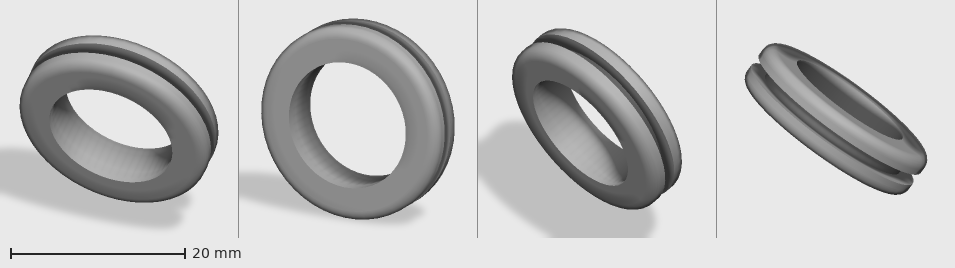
import cadquery as cq

outer_diameter = 23.0
bore_diameter = 15.0
groove_diameter = 19.0
thickness = 5.5
groove_width = 1.5
edge_radius = 1.2


def ring(outside_diameter, inside_diameter, width):
    """Plain ring around the Y axis, centred at Y = 0."""
    wall = (outside_diameter - inside_diameter) / 2
    middle_radius = (outside_diameter + inside_diameter) / 4
    section = cq.Workplane("YZ").center(0, middle_radius).rect(width, wall)
    return section.revolve(360, (0, -middle_radius), (1, -middle_radius))


def rounded_body():
    """Full-thickness ring with both outer rims rounded."""
    body = ring(outer_diameter, bore_diameter, thickness)
    outer_rims = cq.selectors.RadiusNthSelector(-1)
    return body.edges("%CIRCLE").edges(outer_rims).fillet(edge_radius)


panel_groove = ring(outer_diameter, groove_diameter, groove_width)

result = rounded_body().cut(panel_groove)